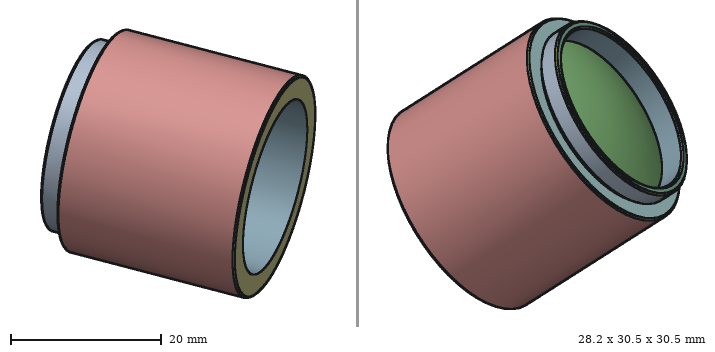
import cadquery as cq

OVERALL_LENGTH = 28.25
COLLAR_LENGTH = 2.62
SHOULDER_X = 3.1

BARREL_RADIUS = 15.25
COLLAR_RADIUS = 13.15
GROOVE_RADIUS = 12.65
BORE_RADIUS = 11.98

CHAMFER = 0.25

LENS_RIM_X = 3.6
LENS_BULGE = 2.38
LENS_EDGE_THICKNESS = 9.15

FRONT_X = -OVERALL_LENGTH / 2
BACK_X = OVERALL_LENGTH / 2


def revolve_about_x(half_profile):
    """Spin a closed XZ half profile all the way round the X axis."""
    return half_profile.revolve(360, (0, 0, 0), (1, 0, 0))


def make_housing():
    """Barrel with a relieved mounting spigot in front and a bore right through."""
    shoulder_x = FRONT_X + SHOULDER_X
    collar_end_x = FRONT_X + COLLAR_LENGTH
    half_profile = (
        cq.Workplane("XZ")
        .moveTo(FRONT_X + CHAMFER, BORE_RADIUS)
        .lineTo(FRONT_X, BORE_RADIUS + CHAMFER)
        .lineTo(FRONT_X, COLLAR_RADIUS - CHAMFER)
        .lineTo(FRONT_X + CHAMFER, COLLAR_RADIUS)
        .lineTo(collar_end_x, COLLAR_RADIUS)
        .lineTo(collar_end_x, GROOVE_RADIUS)
        .lineTo(shoulder_x, GROOVE_RADIUS)
        .lineTo(shoulder_x, BARREL_RADIUS - CHAMFER)
        .lineTo(shoulder_x + CHAMFER, BARREL_RADIUS)
        .lineTo(BACK_X - CHAMFER, BARREL_RADIUS)
        .lineTo(BACK_X, BARREL_RADIUS - CHAMFER)
        .lineTo(BACK_X, BORE_RADIUS)
        .close()
    )
    return revolve_about_x(half_profile)


def make_lens():
    """Plano-convex lens that fills the bore behind the spigot opening."""
    rim_x = FRONT_X + LENS_RIM_X
    pole_x = rim_x - LENS_BULGE
    back_x = rim_x + LENS_EDGE_THICKNESS
    sphere_radius = (BORE_RADIUS**2 + LENS_BULGE**2) / (2 * LENS_BULGE)

    mid_height = BORE_RADIUS / 2
    mid_x = pole_x + sphere_radius - (sphere_radius**2 - mid_height**2) ** 0.5

    half_profile = (
        cq.Workplane("XZ")
        .moveTo(pole_x, 0)
        .threePointArc((mid_x, mid_height), (rim_x, BORE_RADIUS))
        .lineTo(back_x, BORE_RADIUS)
        .lineTo(back_x, 0)
        .close()
    )
    return revolve_about_x(half_profile)


housing = make_housing()
lens = make_lens()

result = cq.Compound.makeCompound([housing.val(), lens.val()])